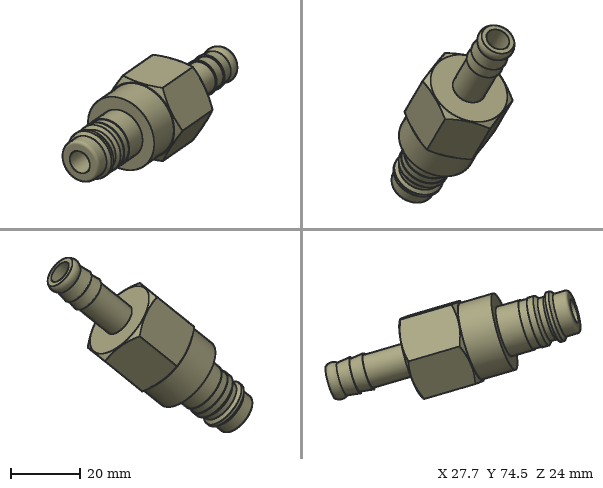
import cadquery as cq
import math

length = 74.5
hex_across_flats = 24.0
hex_across_corners = hex_across_flats / math.cos(math.radians(30))
bore_diameter = 7.0

collar_start = 21.4
hex_start = 31.5
hex_length = 18.0
hex_end = hex_start + hex_length

plug_radius = 7.5
relief_radius = 7.3
tip_radius = 6.5
tip_rounding = 0.9
tip_length = 4.25
bevel_length = 1.0
ring_length = 3.0
ring_end = tip_length + ring_length
land_start = 8.95
land_end = 11.9
relief_end = 14.45

collar_radius = 11.55
hex_face_radius = 11.8
chamfer_length = 1.2

hose_radius = 5.0
barb_radius = 5.5
barb_pitch = 4.0
barb_count = 2
bead_length = 3.4
bead_start = length - bead_length
bead_middle = length - bead_length / 2
bead_radius = 5.6


def revolve_profile(profile):
    """Revolve a closed (radius, station) profile about the Y axis."""
    return profile.close().revolve(360, (0, 0, 0), (0, 1, 0))


def make_plug_and_collar():
    profile = (
        cq.Workplane("XY")
        .moveTo(0, 0)
        .lineTo(tip_radius - tip_rounding, 0)
        .radiusArc((tip_radius, tip_rounding), -tip_rounding)
        .lineTo(tip_radius, tip_length)
        .lineTo(plug_radius, tip_length + bevel_length)
        .lineTo(plug_radius, ring_end - bevel_length)
        .lineTo(tip_radius, ring_end)
        .lineTo(tip_radius, land_start)
        .lineTo(plug_radius, land_start + bevel_length)
        .lineTo(plug_radius, land_end)
        .lineTo(relief_radius, land_end)
        .lineTo(relief_radius, relief_end)
        .lineTo(plug_radius, relief_end)
        .lineTo(plug_radius, collar_start)
        .lineTo(collar_radius, collar_start)
        .lineTo(collar_radius, hex_start)
        .lineTo(0, hex_start)
    )
    return revolve_profile(profile)


def make_hexagon():
    """Hexagonal prism with both ends turned to a cone at the corners."""
    prism = (
        cq.Workplane("XZ", origin=(0, hex_end, 0))
        .polygon(6, hex_across_corners)
        .extrude(hex_length)
    )
    corner_radius = hex_across_corners / 2
    envelope = (
        cq.Workplane("XY")
        .moveTo(0, hex_start)
        .lineTo(hex_face_radius, hex_start)
        .lineTo(corner_radius, hex_start + chamfer_length)
        .lineTo(corner_radius, hex_end - chamfer_length)
        .lineTo(hex_face_radius, hex_end)
        .lineTo(0, hex_end)
    )
    return prism.intersect(revolve_profile(envelope))


def make_hose_tail():
    """Tube with barbs tapering towards the rounded end bead."""
    profile = (
        cq.Workplane("XY")
        .moveTo(0, hex_end)
        .lineTo(hose_radius, hex_end)
        .lineTo(hose_radius, bead_start - barb_count * barb_pitch)
    )
    for barb in range(barb_count, 0, -1):
        barb_start = bead_start - barb * barb_pitch
        profile = (
            profile.lineTo(barb_radius, barb_start)
            .lineTo(hose_radius, barb_start + barb_pitch)
        )
    profile = (
        profile.threePointArc((bead_radius, bead_middle), (hose_radius, length))
        .lineTo(0, length)
    )
    return revolve_profile(profile)


bore = cq.Workplane("XZ").circle(bore_diameter / 2).extrude(-length)

result = (
    make_plug_and_collar()
    .union(make_hexagon())
    .union(make_hose_tail())
    .cut(bore)
    .translate((0, -length / 2, 0))
)